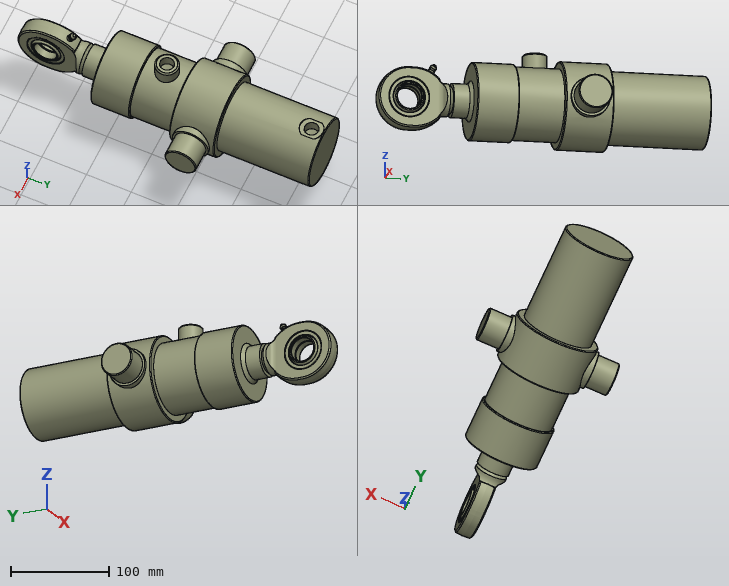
import cadquery as cq
import math


OVERALL_LENGTH = 340
OVERALL_HEIGHT = 96.5

BARREL_DIA = 75.0
GLAND_DIA = 80.0
GLAND_REAR = 200.0
GLAND_FRONT = 243.5
EDGE_CHAMFER = 1.0
WIPER_BASE_DIA = 42.0
ROD_DIA = 35.0
ROD_FRONT = 263.0

TRUNNION_STATION = 128.0
TRUNNION_RING_DIA = 90.0
TRUNNION_RING_WIDTH = 50.0
TRUNNION_COLLAR_DIA = 40.0
TRUNNION_COLLAR_SPAN = 96.0
TRUNNION_PIN_DIA = 35.0
TRUNNION_PIN_SPAN = 145.0

PORT_BOSS_STATION = 176.0
PORT_BOSS_DIA = 25.0
PORT_BOSS_TOP = OVERALL_HEIGHT - TRUNNION_RING_DIA / 2
PORT_BOSS_CHAMFER = 1.7
PORT_HOLE_DIA = 15.0
PORT_HOLE_DEPTH = 12.0
DRILL_TIP_HALF_ANGLE = 59
REAR_PORT_STATION = 14.3
SPOT_FACE_DIA = 25.0
SPOT_FACE_HEIGHT = 36.0

NECK_DIA = 26.5
NECK_COLLAR_DIA = 33.5
NECK_COLLAR_REAR = 267.0
NECK_COLLAR_FRONT = 270.0
NECK_FLARE_RADIUS = 9.0
CHEEK_REAR = 273.0
CHEEK_FRONT = 278.0
CHEEK_HALF_WIDTH = 11.2
EYE_STATION = 308.0
EYE_RADIUS = OVERALL_LENGTH - EYE_STATION
EYE_REAR = 275.5
EYE_REAR_RADIUS = 37.7
EYE_FLAT_LENGTH = 5.0
EYE_WIDTH = 17.7
EYE_DRAFT_ANGLE = 4
EYE_EDGE_CHAMFER = 1.5

NIPPLE_ANGLE = 29
NIPPLE_ROOT_DIA = 6.8
NIPPLE_ROOT_HEIGHT = 3.0
NIPPLE_WAIST_DIA = 5.5
NIPPLE_WAIST_HEIGHT = 5.0
NIPPLE_HEAD_DIA = 6.8
NIPPLE_HEAD_HEIGHT = 7.5
NIPPLE_TIP_DIA = 3.0
NIPPLE_TIP_HEIGHT = 10.0
NIPPLE_EMBED = 2.0

RACE_DIA = 42.0
RACE_WIDTH = 16.3
RACE_CHAMFER = 0.7
RACE_MOUTH_DIA = 33.5
BALL_DIA = 35.5
BALL_CONTACT_DIA = 32.3
BALL_WIDTH = 20.0
BALL_BORE_DIA = 25.0
BALL_BORE_CHAMFER = 0.7
GREASE_GROOVE_WIDTH = 1.5
GREASE_GROOVE_DEPTH = 0.5


def turned(points):
    """Solid of revolution about the Y axis from (radius, station) points."""
    outline = [(radius, -station) for radius, station in points]
    return cq.Workplane("XY").polyline(outline).close().revolve(360, (0, 0, 0), (0, 1, 0))


def chamfered_drum(diameter, rear, front):
    """Cylinder along Y between two stations, with both rims chamfered."""
    drum = cq.Workplane("XZ", origin=(0, -rear, 0)).circle(diameter / 2).extrude(front - rear)
    return drum.faces("<Y or >Y").chamfer(EDGE_CHAMFER)


def trunnion():
    rear = TRUNNION_STATION - TRUNNION_RING_WIDTH / 2
    ring = chamfered_drum(TRUNNION_RING_DIA, rear, rear + TRUNNION_RING_WIDTH)
    centre = cq.Workplane("YZ", origin=(0, -TRUNNION_STATION, 0))
    collars = centre.circle(TRUNNION_COLLAR_DIA / 2).extrude(TRUNNION_COLLAR_SPAN / 2, both=True)
    pins = centre.circle(TRUNNION_PIN_DIA / 2).extrude(TRUNNION_PIN_SPAN / 2, both=True)
    pins = pins.faces("<X or >X").chamfer(EDGE_CHAMFER)
    return ring.union(collars).union(pins)


def port_boss():
    boss = cq.Workplane("XY", origin=(0, -PORT_BOSS_STATION, 0)).circle(PORT_BOSS_DIA / 2)
    return boss.extrude(PORT_BOSS_TOP).faces(">Z").chamfer(PORT_BOSS_CHAMFER)


def port_hole(station, top):
    """Blind drilled hole going down from height `top`, with a conical bottom."""
    radius = PORT_HOLE_DIA / 2
    bottom = top - PORT_HOLE_DEPTH
    tip = bottom - radius / math.tan(math.radians(DRILL_TIP_HALF_ANGLE))
    half_section = [(0, top), (radius, top), (radius, bottom), (0, tip)]
    hole = cq.Workplane("XZ").polyline(half_section).close().revolve(360, (0, 0, 0), (0, 1, 0))
    return hole.translate((0, -station, 0))


def spot_face():
    face = cq.Workplane("XY", origin=(0, -REAR_PORT_STATION, SPOT_FACE_HEIGHT))
    return face.circle(SPOT_FACE_DIA / 2).extrude(BARREL_DIA / 2)


def rod_and_wiper():
    """Rod leaving the gland through a 45 degree wiper cone."""
    wiper_length = (WIPER_BASE_DIA - ROD_DIA) / 2
    return turned([
        (0, GLAND_REAR),
        (WIPER_BASE_DIA / 2, GLAND_REAR),
        (WIPER_BASE_DIA / 2, GLAND_FRONT),
        (ROD_DIA / 2, GLAND_FRONT + wiper_length),
        (ROD_DIA / 2, ROD_FRONT),
        (0, ROD_FRONT),
    ])


def make_cylinder():
    body = chamfered_drum(BARREL_DIA, 0, GLAND_FRONT - EDGE_CHAMFER)
    body = body.union(chamfered_drum(GLAND_DIA, GLAND_REAR, GLAND_FRONT))
    body = body.union(trunnion()).union(port_boss()).union(rod_and_wiper())
    body = body.cut(spot_face())
    body = body.cut(port_hole(REAR_PORT_STATION, SPOT_FACE_HEIGHT))
    return body.cut(port_hole(PORT_BOSS_STATION, PORT_BOSS_TOP))


def neck_blank():
    """Turned neck: back cone, collar and a concave flare that runs out into the eye."""
    collar_radius = NECK_COLLAR_DIA / 2
    flare_length = CHEEK_FRONT - NECK_COLLAR_FRONT

    def flare_radius(distance):
        return collar_radius + NECK_FLARE_RADIUS - math.sqrt(NECK_FLARE_RADIUS**2 - distance**2)

    flare_middle = (flare_radius(flare_length / 2), -NECK_COLLAR_FRONT - flare_length / 2)
    return (
        cq.Workplane("XY")
        .moveTo(0, -ROD_FRONT)
        .lineTo(NECK_DIA / 2, -ROD_FRONT)
        .lineTo(collar_radius, -NECK_COLLAR_REAR)
        .lineTo(collar_radius, -NECK_COLLAR_FRONT)
        .threePointArc(flare_middle, (flare_radius(flare_length), -CHEEK_FRONT))
        .lineTo(0, -CHEEK_FRONT)
        .close()
        .revolve(360, (0, 0, 0), (0, 1, 0))
    )


def neck_plan_half():
    """Upright block whose +X side narrows the neck to the width of the eye."""
    collar_radius = NECK_COLLAR_DIA / 2
    half = (
        cq.Workplane("XY")
        .moveTo(0, -EYE_STATION)
        .lineTo(EYE_WIDTH / 2, -EYE_STATION)
        .lineTo(EYE_WIDTH / 2, -CHEEK_FRONT)
        .tangentArcPoint((CHEEK_HALF_WIDTH, -CHEEK_REAR), relative=False)
        .lineTo(collar_radius, -NECK_COLLAR_FRONT)
        .lineTo(collar_radius, -ROD_FRONT)
        .lineTo(0, -ROD_FRONT)
        .close()
    )
    return half.extrude(EYE_RADIUS, both=True)


def neck():
    half = neck_plan_half()
    return neck_blank().intersect(half.union(half.mirror("YZ")))


def eye_half():
    """The half of the eye on the +X side, drafted from its middle plane and chamfered."""
    flat_rear = EYE_STATION - EYE_FLAT_LENGTH
    rear_arc_drop = EYE_REAR_RADIUS - EYE_RADIUS

    def rear_arc_height(station):
        return math.sqrt(EYE_REAR_RADIUS**2 - (flat_rear - station) ** 2) - rear_arc_drop

    rear_height = rear_arc_height(EYE_REAR)
    middle = (EYE_REAR + flat_rear) / 2
    middle_height = rear_arc_height(middle)
    half = (
        cq.Workplane("YZ")
        .moveTo(-EYE_REAR, -rear_height)
        .threePointArc((-middle, -middle_height), (-flat_rear, -EYE_RADIUS))
        .lineTo(-EYE_STATION, -EYE_RADIUS)
        .threePointArc((-EYE_STATION - EYE_RADIUS, 0), (-EYE_STATION, EYE_RADIUS))
        .lineTo(-flat_rear, EYE_RADIUS)
        .threePointArc((-middle, middle_height), (-EYE_REAR, rear_height))
        .close()
        .extrude(EYE_WIDTH / 2, taper=EYE_DRAFT_ANGLE)
    )
    return half.faces(">X").edges("not(|Z)").chamfer(EYE_EDGE_CHAMFER)


def eye_bore():
    centre = cq.Workplane("YZ", origin=(0, -EYE_STATION, 0))
    return centre.circle(RACE_DIA / 2).extrude(EYE_WIDTH / 2, both=True)


def nipple():
    """Grease nipple standing square on the rear arc of the eye."""
    half_section = [
        (0, -NIPPLE_EMBED),
        (NIPPLE_ROOT_DIA / 2, -NIPPLE_EMBED),
        (NIPPLE_ROOT_DIA / 2, NIPPLE_ROOT_HEIGHT),
        (NIPPLE_WAIST_DIA / 2, NIPPLE_ROOT_HEIGHT),
        (NIPPLE_WAIST_DIA / 2, NIPPLE_WAIST_HEIGHT),
        (NIPPLE_HEAD_DIA / 2, NIPPLE_WAIST_HEIGHT),
        (NIPPLE_HEAD_DIA / 2, NIPPLE_HEAD_HEIGHT),
        (NIPPLE_TIP_DIA / 2, NIPPLE_TIP_HEIGHT),
        (0, NIPPLE_TIP_HEIGHT),
    ]
    upright = cq.Workplane("XZ").polyline(half_section).close().revolve(360, (0, 0, 0), (0, 1, 0))
    on_arc = upright.translate((0, 0, EYE_REAR_RADIUS))
    tilted = on_arc.rotate((0, 0, 0), (1, 0, 0), -NIPPLE_ANGLE)
    return tilted.translate((0, EYE_FLAT_LENGTH - EYE_STATION, EYE_RADIUS - EYE_REAR_RADIUS))


def make_rod_end():
    half = eye_half()
    eye = half.union(half.mirror("YZ"))
    return neck().union(eye).union(nipple()).cut(eye_bore())


def make_bearing():
    """Race and ball as one turned body about the X axis of the eye."""
    half_race = RACE_WIDTH / 2
    race_radius = RACE_DIA / 2
    half_ball = BALL_WIDTH / 2
    half_groove = GREASE_GROOVE_WIDTH / 2
    ball_radius = BALL_DIA / 2
    bore_radius = BALL_BORE_DIA / 2
    contact_radius = BALL_CONTACT_DIA / 2
    mouth_radius = RACE_MOUTH_DIA / 2
    contact_x = math.sqrt(ball_radius**2 - contact_radius**2)
    land_radius = math.sqrt(ball_radius**2 - half_ball**2)
    arc_x = (contact_x + half_ball) / 2
    arc_radius = math.sqrt(ball_radius**2 - arc_x**2)
    groove_radius = bore_radius + GREASE_GROOVE_DEPTH
    half = (
        cq.Workplane("XY")
        .moveTo(0, groove_radius)
        .lineTo(half_groove, groove_radius)
        .lineTo(half_groove, bore_radius)
        .lineTo(half_ball - BALL_BORE_CHAMFER, bore_radius)
        .lineTo(half_ball, bore_radius + BALL_BORE_CHAMFER)
        .lineTo(half_ball, land_radius)
        .threePointArc((arc_x, arc_radius), (contact_x, contact_radius))
        .lineTo(half_race, mouth_radius)
        .lineTo(half_race, race_radius - RACE_CHAMFER)
        .lineTo(half_race - RACE_CHAMFER, race_radius)
        .lineTo(0, race_radius)
        .close()
        .revolve(360, (0, 0, 0), (1, 0, 0))
    )
    bearing = half.union(half.mirror("YZ"))
    return bearing.translate((0, -EYE_STATION, 0))


cylinder = make_cylinder()
rod_end = make_rod_end()
bearing = make_bearing()

result = cq.Compound.makeCompound([cylinder.val(), rod_end.val(), bearing.val()])